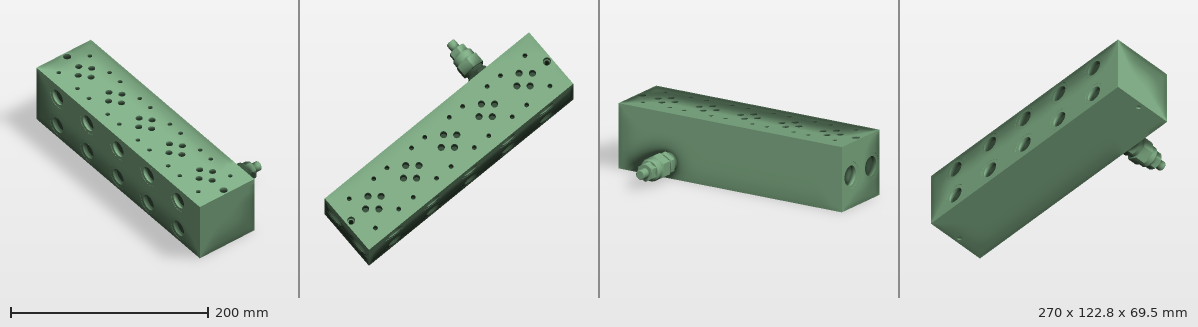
import cadquery as cq
import math


BLOCK_LENGTH = 270.0
BLOCK_DEPTH = 70.0
BLOCK_HEIGHT = 69.5
MIDDLE_Y = BLOCK_DEPTH / 2

STATION_COUNT = 5
STATION_PITCH = 50.0
FIRST_STATION_X = (BLOCK_LENGTH - (STATION_COUNT - 1) * STATION_PITCH) / 2
STATION_XS = [FIRST_STATION_X + i * STATION_PITCH for i in range(STATION_COUNT)]

VALVE_PORT_DIAMETER = 7.3
VALVE_PORT_DEPTH = 10.8
VALVE_PORT_OFFSET_X = 10.3
VALVE_PORT_OFFSET_Y = 8.6

SCREW_HOLE_DIAMETER = 4.9
SCREW_HOLE_DEPTH = 10.8
DRILL_POINT_ANGLE = 118.0
REAR_SCREW_OFFSET_X = 16.2
REAR_SCREW_OFFSET_Y = 19.0
FRONT_SCREW_OFFSET_X = 15.5
FRONT_SCREW_OFFSET_Y = -21.5

MOUNTING_HOLE_DIAMETER = 5.0
MOUNTING_BORE_DIAMETER = 8.5
MOUNTING_BORE_DEPTH = 7.0
MOUNTING_EDGE_DISTANCE = 5.7

PORT_DEPTH = 5.0
SPOT_FACE_DEPTH = 0.3
FRONT_PORT_DIAMETER = 17.3
FRONT_PORT_SPOT_DIAMETER = 25.5
FRONT_PORT_LOW_Z = 16.0
FRONT_PORT_PITCH_Z = 37.5
END_PORT_DIAMETER = 21.0
END_PORT_SPOT_DIAMETER = 29.5
END_PORT_PITCH_Y = 38.0

CARTRIDGE_X = (STATION_XS[-2] + STATION_XS[-1]) / 2
CARTRIDGE_Z = 17.3
COLLAR_DIAMETER = 21.5
COLLAR_LENGTH = 4.0
LOCK_NUT_FLATS = 22.0
LOCK_NUT_LENGTH = 7.3
NECK_DIAMETER = 20.5
NECK_LENGTH = 4.0
BODY_HEX_FLATS = 24.0
BODY_HEX_LENGTH = 12.5
BARREL_DIAMETER = 23.2
BARREL_LENGTH = 5.7
SHOULDER_DIAMETER = 20.5
SHOULDER_LENGTH = 2.0
END_NUT_FLATS = 17.3
END_NUT_LENGTH = 7.8
SPINDLE_DIAMETER = 10.3
SPINDLE_LENGTH = 9.5
SPINDLE_CHAMFER = 0.8
HEX_CHAMFER_ANGLE = 30.0
HEX_CHAMFER_INSET = 0.3


def make_blind_hole(mouth, direction, diameter, depth):
    """Return a flat-bottomed cutter that goes from its mouth along a direction."""
    return cq.Solid.makeCylinder(diameter / 2, depth, cq.Vector(*mouth), cq.Vector(*direction))


def make_spot_faced_port(mouth, direction, diameter, spot_diameter):
    """Return a port cutter with a wide, shallow spot face at its mouth."""
    bore = make_blind_hole(mouth, direction, diameter, PORT_DEPTH)
    spot_face = make_blind_hole(mouth, direction, spot_diameter, SPOT_FACE_DEPTH)
    return bore.fuse(spot_face)


def make_screw_hole(x, y):
    """Return a cutter for a vertical drilled hole with a conical bottom."""
    radius = SCREW_HOLE_DIAMETER / 2
    point_length = radius / math.tan(math.radians(DRILL_POINT_ANGLE / 2))
    down = (0, 0, -1)
    bore = make_blind_hole((x, y, BLOCK_HEIGHT), down, SCREW_HOLE_DIAMETER, SCREW_HOLE_DEPTH)
    bore_bottom = cq.Vector(x, y, BLOCK_HEIGHT - SCREW_HOLE_DEPTH)
    point = cq.Solid.makeCone(radius, 0, point_length, bore_bottom, cq.Vector(*down))
    return bore.fuse(point)


def make_mounting_hole(x):
    """Return a cutter for a through hole that is counterbored from the top."""
    mouth = (x, MIDDLE_Y, BLOCK_HEIGHT)
    down = (0, 0, -1)
    hole = make_blind_hole(mouth, down, MOUNTING_HOLE_DIAMETER, BLOCK_HEIGHT)
    counterbore = make_blind_hole(mouth, down, MOUNTING_BORE_DIAMETER, MOUNTING_BORE_DEPTH)
    return hole.fuse(counterbore)


def make_station_cutters(station_x):
    """Return the cutters of one station: four valve ports, four screw holes, two front ports."""
    cutters = []
    valve_port_offsets = [
        (VALVE_PORT_OFFSET_X, 0),
        (-VALVE_PORT_OFFSET_X, 0),
        (0, VALVE_PORT_OFFSET_Y),
        (0, -VALVE_PORT_OFFSET_Y),
    ]
    for dx, dy in valve_port_offsets:
        mouth = (station_x + dx, MIDDLE_Y + dy, BLOCK_HEIGHT)
        cutters.append(make_blind_hole(mouth, (0, 0, -1), VALVE_PORT_DIAMETER, VALVE_PORT_DEPTH))

    for side in (-1, 1):
        cutters.append(
            make_screw_hole(station_x + side * REAR_SCREW_OFFSET_X, MIDDLE_Y + REAR_SCREW_OFFSET_Y)
        )
        cutters.append(
            make_screw_hole(station_x + side * FRONT_SCREW_OFFSET_X, MIDDLE_Y + FRONT_SCREW_OFFSET_Y)
        )

    for z in (FRONT_PORT_LOW_Z, FRONT_PORT_LOW_Z + FRONT_PORT_PITCH_Z):
        cutters.append(
            make_spot_faced_port(
                (station_x, 0, z), (0, 1, 0),
                FRONT_PORT_DIAMETER, FRONT_PORT_SPOT_DIAMETER,
            )
        )
    return cutters


def make_end_port_cutters():
    """Return the cutters of the two ports in the left end face."""
    return [
        make_spot_faced_port(
            (0, MIDDLE_Y + side * END_PORT_PITCH_Y / 2, BLOCK_HEIGHT / 2), (1, 0, 0),
            END_PORT_DIAMETER, END_PORT_SPOT_DIAMETER,
        )
        for side in (-1, 1)
    ]


def make_block():
    """Return the manifold block with all its holes."""
    cutters = make_end_port_cutters()
    for x in (MOUNTING_EDGE_DISTANCE, BLOCK_LENGTH - MOUNTING_EDGE_DISTANCE):
        cutters.append(make_mounting_hole(x))
    for station_x in STATION_XS:
        cutters.extend(make_station_cutters(station_x))
    block = cq.Workplane("XY").box(BLOCK_LENGTH, BLOCK_DEPTH, BLOCK_HEIGHT, centered=False)
    return cq.Workplane(block.val().cut(*cutters))


def make_cylinder(start, length, diameter):
    """Return a cylinder on the Z axis."""
    return cq.Workplane("XY").workplane(offset=start).circle(diameter / 2).extrude(length)


def make_hex(start, length, flats, chamfer_start=False):
    """Return a hexagon on the Z axis with corners on the Y axis, chamfered at its outer end."""
    corner_radius = flats / math.sqrt(3)
    face_radius = flats / 2 - HEX_CHAMFER_INSET
    drop = (corner_radius - face_radius) * math.tan(math.radians(HEX_CHAMFER_ANGLE))
    end = start + length
    prism = (
        cq.Workplane("XY")
        .workplane(offset=start)
        .polygon(6, 2 * corner_radius)
        .extrude(length)
        .rotate((0, 0, 0), (0, 0, 1), 90)
    )
    if chamfer_start:
        start_corner = [(face_radius, start), (corner_radius, start + drop)]
    else:
        start_corner = [(corner_radius, start)]
    end_corner = [(corner_radius, end - drop), (face_radius, end)]
    outline = [(0, start), *start_corner, *end_corner, (0, end)]
    envelope = cq.Workplane("XZ").polyline(outline).close().revolve(360, (0, 0), (0, 1))
    return prism.intersect(envelope)


def make_cartridge():
    """Return the cartridge: built upright on the Z axis, then laid along Y onto the rear face."""
    lock_nut_start = COLLAR_LENGTH
    neck_start = lock_nut_start + LOCK_NUT_LENGTH
    body_hex_start = neck_start + NECK_LENGTH
    barrel_start = body_hex_start + BODY_HEX_LENGTH
    shoulder_start = barrel_start + BARREL_LENGTH
    end_nut_start = shoulder_start + SHOULDER_LENGTH
    spindle_start = end_nut_start + END_NUT_LENGTH

    shoulder = cq.Workplane(
        cq.Solid.makeCone(
            BARREL_DIAMETER / 2, SHOULDER_DIAMETER / 2, SHOULDER_LENGTH, cq.Vector(0, 0, shoulder_start)
        )
    )
    spindle = make_cylinder(spindle_start, SPINDLE_LENGTH, SPINDLE_DIAMETER)
    spindle = spindle.faces(">Z").chamfer(SPINDLE_CHAMFER)

    return (
        make_cylinder(0, COLLAR_LENGTH, COLLAR_DIAMETER)
        .union(make_hex(lock_nut_start, LOCK_NUT_LENGTH, LOCK_NUT_FLATS, chamfer_start=True))
        .union(make_cylinder(neck_start, NECK_LENGTH, NECK_DIAMETER))
        .union(make_hex(body_hex_start, BODY_HEX_LENGTH, BODY_HEX_FLATS))
        .union(make_cylinder(barrel_start, BARREL_LENGTH, BARREL_DIAMETER))
        .union(shoulder)
        .union(make_hex(end_nut_start, END_NUT_LENGTH, END_NUT_FLATS))
        .union(spindle)
        .rotate((0, 0, 0), (1, 0, 0), -90)
        .translate((CARTRIDGE_X, BLOCK_DEPTH, CARTRIDGE_Z))
    )


block = make_block()
cartridge = make_cartridge()
result = cq.Compound.makeCompound([block.val(), cartridge.val()])